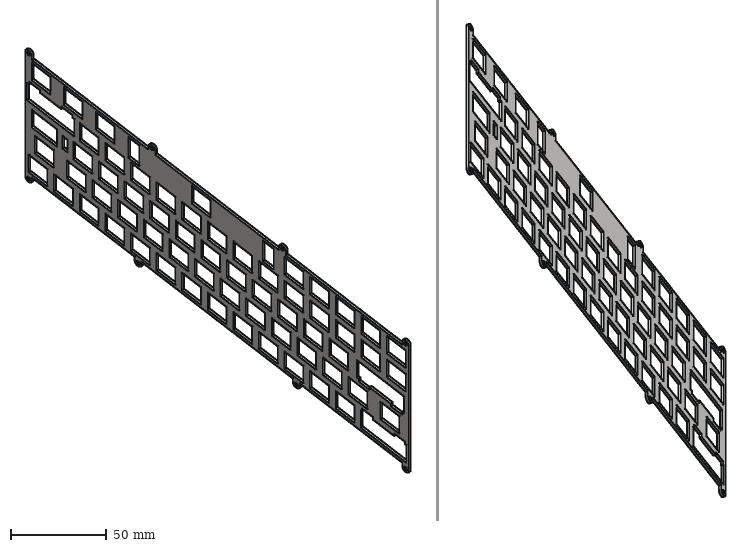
import cadquery as cq

plate_width = 285.8
plate_thickness = 1.5
overall_height = 106.0
units_wide = 15
row_count = 5
pitch = plate_width / units_wide
plate_height = row_count * pitch

switch_size = 14.0

stabilizer_spacing = 24.0
stabilizer_notch_width = 8.0
stabilizer_notch_depth = 2.0
wide_cutout_width = 35.1
narrow_cutout_width = 33.7
notches_up = 1
notches_down = -1

bar_key_row = 0
bar_slot_spacing = 100.0
bar_slot_width = 8.0
bar_slot_height = 16.5

stepped_key_row = 2
side_slot_unit = 1.56
side_slot_width = 3.7
side_slot_height = 10.0

tab_radius = 2.5
tab_hole_diameter = 2.3
top_tab_offset = 48.5
bottom_tab_offset = 59.0

bar_key_unit = 6.875
stepped_key_units = (0.625, 0.875)
switch_rows = [
    [0.625, 1.875, 3.125, bar_key_unit] + [10.5 + i for i in range(5)],
    [2.5 + i for i in range(13)],
    list(stepped_key_units) + [2.25 + i for i in range(11)],
    [0.75] + [2 + i for i in range(12)] + [14.25],
    [0.5 + i for i in range(13)],
]

stabilized_keys = [
    (1, 1, wide_cutout_width, notches_up),
    (13.875, 2, wide_cutout_width, notches_down),
    (14, 4, narrow_cutout_width, notches_up),
]


def unit_x(units):
    """X of a position given in key units from the left edge."""
    return units * pitch - plate_width / 2


def row_z(row):
    """Z of the center line of a key row, counted from the top."""
    return plate_height / 2 - (row + 0.5) * pitch


def block(x, z, width, height):
    """Block through the plate thickness, centered at (x, z)."""
    return cq.Workplane("XY").box(width, plate_thickness, height).translate((x, 0, z))


def cylinder(x, z, radius):
    """Cylinder through the plate thickness, centered at (x, z)."""
    disc = cq.Workplane("XZ").circle(radius).extrude(plate_thickness / 2, both=True)
    return disc.translate((x, 0, z))


def stabilized_cutout(units, row, width, notch_side):
    """Wide cutout with two notches above or below it."""
    x = unit_x(units)
    z = row_z(row)
    cutout = block(x, z, width, switch_size)
    notch_z = z + notch_side * stabilizer_notch_depth / 2
    notch_height = switch_size + stabilizer_notch_depth
    for side in (-1, 1):
        notch_x = x + side * stabilizer_spacing / 2
        cutout = cutout.union(block(notch_x, notch_z, stabilizer_notch_width, notch_height))
    return cutout


corner_tab_offset = plate_width / 2 - tab_radius
tab_hole_z = overall_height / 2 - tab_radius
tab_centers = []
for edge, middle_offset in ((1, top_tab_offset), (-1, bottom_tab_offset)):
    for offset in (corner_tab_offset, middle_offset):
        tab_centers += [(-offset, edge * tab_hole_z), (offset, edge * tab_hole_z)]

plate = block(0, 0, plate_width, plate_height)
for x, z in tab_centers:
    plate = plate.union(block(x, z / 2, 2 * tab_radius, abs(z)))
    plate = plate.union(cylinder(x, z, tab_radius))
for x, z in tab_centers:
    plate = plate.cut(cylinder(x, z, tab_hole_diameter / 2))

for row, key_units in enumerate(switch_rows):
    for units in key_units:
        plate = plate.cut(block(unit_x(units), row_z(row), switch_size, switch_size))

for units, row, width, notch_side in stabilized_keys:
    plate = plate.cut(stabilized_cutout(units, row, width, notch_side))

bar_slot_z = row_z(bar_key_row) + (switch_size - bar_slot_height) / 2
for side in (-1, 1):
    slot_x = unit_x(bar_key_unit) + side * bar_slot_spacing / 2
    plate = plate.cut(block(slot_x, bar_slot_z, bar_slot_width, bar_slot_height))

side_slot = block(unit_x(side_slot_unit), row_z(stepped_key_row), side_slot_width, side_slot_height)
plate = plate.cut(side_slot)

result = plate